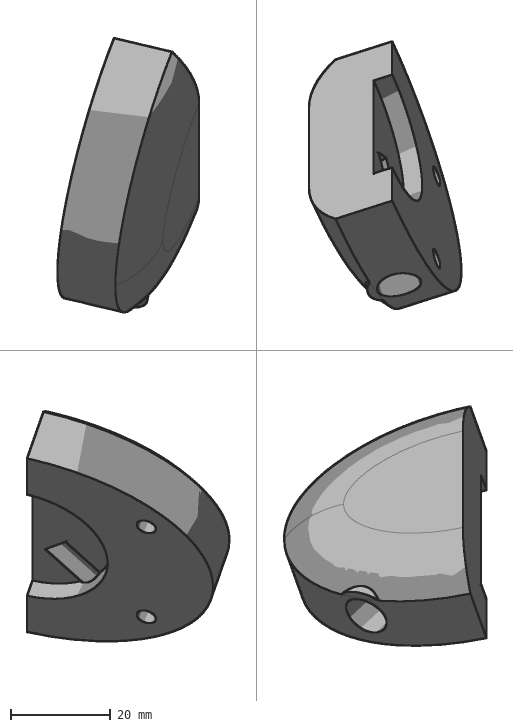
import cadquery as cq
import math

thickness = 18.0
wall_depth = 12.25
half_width = 39.0
half_height = 29.0
dome_radius = 20.0

recess_radius = 16.9
recess_depth = 4.0

pin_diameter = 4.0
pin_depth = 5.0
pin_y = -25.0
pin_z = 15.0
drill_point_angle = 118.0

channel_diameter = 9.0
channel_x = 7.4
channel_start_y = -4.8
channel_start_z = -3.5
channel_angle = 47.0
channel_length = 40.6
boss_diameter = 13.0


def elliptical_prism(growth, start_x, end_x):
    """Full elliptical prism along X, with its outline offset outward by growth."""
    outline = cq.Workplane("YZ", origin=(start_x, 0, 0)).ellipse(half_width, half_height)
    if growth > 0:
        outline = outline.offset2D(growth)
    return outline.extrude(end_x - start_x)


def domed_body():
    """Elliptical block whose front rounds off in an arc that meets the wall at an edge."""
    dome_height = thickness - wall_depth
    arc_run = math.sqrt(dome_radius**2 - (dome_radius - dome_height) ** 2)
    growth = dome_radius - arc_run
    dome = elliptical_prism(growth, -dome_radius, thickness).faces(">X").edges().fillet(dome_radius)
    return elliptical_prism(0, 0, thickness).intersect(dome)


def channel_cylinder(diameter):
    """Cylinder along the slanted channel axis, starting at the channel's blind end."""
    angle = math.radians(channel_angle)
    start = cq.Vector(channel_x, channel_start_y, channel_start_z)
    direction = cq.Vector(0, -math.cos(angle), -math.sin(angle))
    return cq.Workplane(cq.Solid.makeCylinder(diameter / 2, channel_length, start, direction))


def pin_hole(z):
    """Drilled hole with a conical bottom."""
    radius = pin_diameter / 2
    tip_depth = radius / math.tan(math.radians(drill_point_angle / 2))
    profile = (
        cq.Workplane("XY")
        .polyline([(0, 0), (0, radius), (pin_depth, radius), (pin_depth + tip_depth, 0)])
        .close()
    )
    return profile.revolve(360, (0, 0, 0), (1, 0, 0)).translate((0, pin_y, z))


boss = channel_cylinder(boss_diameter).intersect(elliptical_prism(0, 0, thickness))
body = domed_body().union(boss)

half_space = cq.Workplane("XY").box(
    thickness, half_width, 2 * half_height, centered=(False, False, True)
)
body = body.cut(half_space)

body = body.cut(cq.Workplane("YZ").circle(recess_radius).extrude(recess_depth))
body = body.cut(channel_cylinder(channel_diameter))
for hole_z in (-pin_z, pin_z):
    body = body.cut(pin_hole(hole_z))

result = body